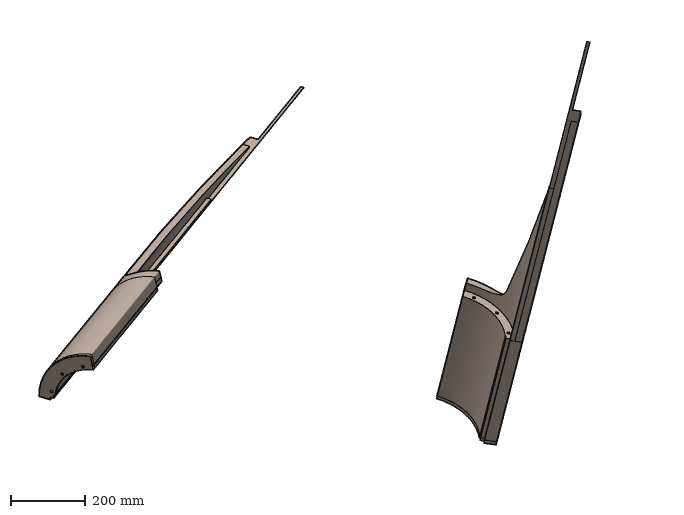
import cadquery as cq
import math

OUTER_RADIUS = 198.0
INNER_RADIUS = 151.0
WALL_ANGLE = 78.0
SHEET_THICKNESS = 2.0
BEND_RADIUS = 3.0
BEND_INNER_RADIUS = BEND_RADIUS - SHEET_THICKNESS
CORE_THICKNESS = 20.0
AXIS_X = OUTER_RADIUS
AXIS_Z = BEND_RADIUS
SHEET_INNER_RADIUS = OUTER_RADIUS - SHEET_THICKNESS
CORE_INNER_RADIUS = SHEET_INNER_RADIUS - CORE_THICKNESS

END_PLATE_THICKNESS = 10.0
BLOCK_END = 386.0
SHOULDER_Y = 413.0
RAIL_END = 961.0
CORE_END = 1215.0
FLANGE_END = 1258.0
TONGUE_END = 1513.0

SLOPE_ANGLE = math.radians(8)
SHOULDER_RADIUS = 60.0
OUTLINE_TOP = AXIS_Z + OUTER_RADIUS

FLANGE_WIDTH = 35.0
TONGUE_WIDTH = 9.0
FOOT_TOP = 9.0
REBATE_X = 45.0
REBATE_TOP = 18.0

TUBE_DIAMETER = 8.0
TUBE_BORE = 6.0
TUBE_CIRCLE_RADIUS = 162.0
TUBE_FIRST_ANGLE = 10.0
TUBE_SPACING = 28.3
TUBE_COUNT = 3
TUBE_ANGLES = [TUBE_FIRST_ANGLE + TUBE_SPACING * i for i in range(TUBE_COUNT)]

DIAGONAL = math.sqrt(0.5)
LIP_BEND_DISTANCE = math.sqrt((OUTER_RADIUS - BEND_RADIUS) ** 2 - BEND_RADIUS**2)
LIP_BEND_ANGLE = WALL_ANGLE - math.degrees(math.asin(BEND_RADIUS / (OUTER_RADIUS - BEND_RADIUS)))


def wall_point(radius, angle):
    """Point of the cross-section at an angle up from the -X direction."""
    turn = math.radians(angle)
    return AXIS_X - radius * math.cos(turn), AXIS_Z + radius * math.sin(turn)


def mid_point(radius, start=0.0):
    """Point on a circle about the axis, halfway from the start angle to the top edge."""
    return wall_point(radius, (start + WALL_ANGLE) / 2)


def edge_point(distance, inset):
    """Point at a distance from the axis along the wall's top edge plane, set back from that plane."""
    turn = math.radians(WALL_ANGLE)
    x, z = wall_point(distance, WALL_ANGLE)
    return x - inset * math.sin(turn), z - inset * math.cos(turn)


def under_lip(radius):
    """Point on a circle about the axis where it meets the inner face of the lip."""
    return edge_point(math.sqrt(radius**2 - SHEET_THICKNESS**2), SHEET_THICKNESS)


def bent_path(y_start, face_radius, bend):
    """Start an outline along one face of the sheet: foot bend, curved wall, then lip bend."""
    bend_offset = BEND_RADIUS - bend
    bend_middle = BEND_RADIUS - bend * DIAGONAL
    return (
        cq.Workplane("XZ", origin=(0, y_start, 0))
        .moveTo(BEND_RADIUS, bend_offset)
        .threePointArc((bend_middle, bend_middle), (bend_offset, AXIS_Z))
        .threePointArc(mid_point(face_radius), wall_point(face_radius, LIP_BEND_ANGLE))
        .threePointArc(
            edge_point(LIP_BEND_DISTANCE + bend * DIAGONAL, bend_middle),
            edge_point(LIP_BEND_DISTANCE, bend_offset),
        )
    )


def inside_sheet(y_start):
    """Start the outline of a body that fits against the inner face of the sheet."""
    return bent_path(y_start, SHEET_INNER_RADIUS, BEND_INNER_RADIUS)


def extrude_to(outline, length):
    """Extrude a closed cross-section towards +Y."""
    return outline.close().extrude(-length)


def blade_outline():
    """Side outline of the shoulder and the blade, as a prism across the whole width."""
    tangent_y = SHOULDER_Y + SHOULDER_RADIUS * (1 - math.sin(SLOPE_ANGLE))
    tangent_z = (FLANGE_END - tangent_y) * math.tan(SLOPE_ANGLE)
    centre_y = SHOULDER_Y + SHOULDER_RADIUS
    centre_z = tangent_z + SHOULDER_RADIUS * math.cos(SLOPE_ANGLE)
    middle_turn = (math.pi / 2 - SLOPE_ANGLE) / 2
    arc_middle = (
        centre_y - SHOULDER_RADIUS * math.cos(middle_turn),
        centre_z - SHOULDER_RADIUS * math.sin(middle_turn),
    )
    return (
        cq.Workplane("YZ")
        .moveTo(0, 0)
        .lineTo(FLANGE_END, 0)
        .lineTo(tangent_y, tangent_z)
        .threePointArc(arc_middle, (SHOULDER_Y, centre_z))
        .lineTo(SHOULDER_Y, OUTLINE_TOP)
        .lineTo(0, OUTLINE_TOP)
        .close()
        .extrude(AXIS_X)
    )


def make_sheet():
    """Curved skin with a lip along its top edge and, at its foot, a flange ending in a tongue."""
    lip_end = OUTER_RADIUS - FLANGE_WIDTH
    bend_middle = BEND_RADIUS - BEND_INNER_RADIUS * DIAGONAL
    outline = (
        bent_path(0, OUTER_RADIUS, BEND_RADIUS)
        .lineTo(*edge_point(lip_end, 0))
        .lineTo(*edge_point(lip_end, SHEET_THICKNESS))
        .lineTo(*edge_point(LIP_BEND_DISTANCE, SHEET_THICKNESS))
        .threePointArc(
            edge_point(LIP_BEND_DISTANCE + BEND_INNER_RADIUS * DIAGONAL, bend_middle),
            wall_point(SHEET_INNER_RADIUS, LIP_BEND_ANGLE),
        )
        .threePointArc(mid_point(SHEET_INNER_RADIUS), (SHEET_THICKNESS, AXIS_Z))
        .threePointArc((bend_middle, bend_middle), (BEND_RADIUS, SHEET_THICKNESS))
    )
    skin = extrude_to(outline, FLANGE_END).intersect(blade_outline())
    flange = (
        cq.Workplane("XY")
        .moveTo(BEND_RADIUS, 0)
        .lineTo(FLANGE_WIDTH, 0)
        .lineTo(FLANGE_WIDTH, TONGUE_END)
        .lineTo(FLANGE_WIDTH - TONGUE_WIDTH, TONGUE_END)
        .lineTo(FLANGE_WIDTH - TONGUE_WIDTH, FLANGE_END)
        .lineTo(BEND_RADIUS, FLANGE_END)
        .close()
        .extrude(SHEET_THICKNESS)
    )
    return skin.union(flange)


def make_core():
    """Solid lining of the blade, behind the block and just inside the sheet."""
    foot_x, foot_z = wall_point(CORE_INNER_RADIUS, 0)
    outline = (
        inside_sheet(BLOCK_END)
        .lineTo(*under_lip(CORE_INNER_RADIUS))
        .threePointArc(mid_point(CORE_INNER_RADIUS), (foot_x, foot_z))
        .lineTo(foot_x, SHEET_THICKNESS)
    )
    return extrude_to(outline, CORE_END - BLOCK_END).intersect(blade_outline())


def make_wall_segment(y_start, y_end):
    """Full-thickness piece of the wall inside the sheet, with a rebated foot and tube holes."""
    rebate_angle = math.degrees(math.asin((REBATE_TOP - AXIS_Z) / INNER_RADIUS))
    outline = (
        inside_sheet(y_start)
        .lineTo(*under_lip(INNER_RADIUS))
        .threePointArc(
            mid_point(INNER_RADIUS, rebate_angle), wall_point(INNER_RADIUS, rebate_angle)
        )
        .lineTo(REBATE_X, REBATE_TOP)
        .lineTo(REBATE_X, FOOT_TOP)
        .lineTo(FLANGE_WIDTH, FOOT_TOP)
        .lineTo(FLANGE_WIDTH, SHEET_THICKNESS)
    )
    holes = (
        cq.Workplane("XZ", origin=(0, y_start, 0))
        .pushPoints([wall_point(TUBE_CIRCLE_RADIUS, angle) for angle in TUBE_ANGLES])
        .circle(TUBE_DIAMETER / 2)
        .extrude(-(y_end - y_start))
    )
    return extrude_to(outline, y_end - y_start).cut(holes)


def make_rail():
    """Bar on the flange that carries the foot of the block on along the blade."""
    rail_x = AXIS_X - math.sqrt(CORE_INNER_RADIUS**2 - (FOOT_TOP - AXIS_Z) ** 2)
    bar = cq.Workplane("XY").box(
        FLANGE_WIDTH - rail_x, RAIL_END - BLOCK_END, FOOT_TOP - SHEET_THICKNESS, centered=False
    )
    return bar.translate((rail_x, BLOCK_END, SHEET_THICKNESS))


def make_tube(angle):
    """Tube through the end plate and the block, flush with both outer ends."""
    x, z = wall_point(TUBE_CIRCLE_RADIUS, angle)
    return (
        cq.Workplane("XZ")
        .center(x, z)
        .circle(TUBE_DIAMETER / 2)
        .circle(TUBE_BORE / 2)
        .extrude(-BLOCK_END)
    )


sheet = make_sheet()
core = make_core()
end_plate = make_wall_segment(0, END_PLATE_THICKNESS)
block = make_wall_segment(END_PLATE_THICKNESS, BLOCK_END)
rail = make_rail()
tubes = [make_tube(angle) for angle in TUBE_ANGLES]

result = cq.Compound.makeCompound(
    [sheet.val(), core.val(), end_plate.val(), block.val(), rail.val()]
    + [tube.val() for tube in tubes]
)